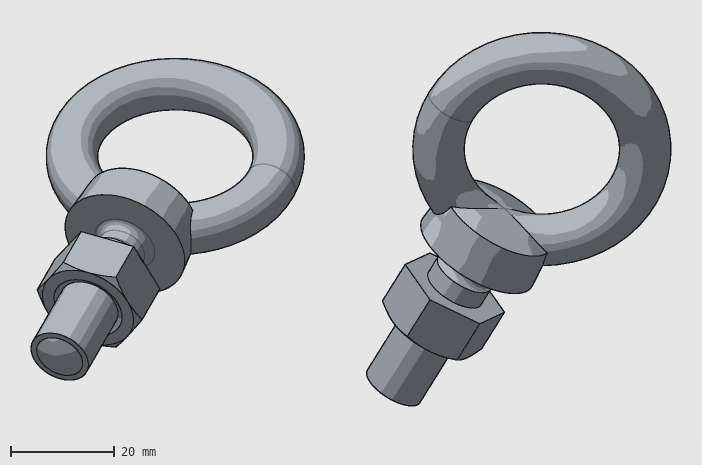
import cadquery as cq
import math


ring_outer_diameter = 50.0
ring_wire_diameter = 10.0
ring_wire_radius = ring_wire_diameter / 2
ring_centerline_radius = ring_outer_diameter / 2 - ring_wire_radius
ring_inner_radius = ring_centerline_radius - ring_wire_radius

collar_base_radius = ring_outer_diameter / 4
collar_top_radius = 11.75
collar_base_y = -26.0
collar_taper_height = 8.8
collar_top_y = collar_base_y + collar_taper_height
crown_y = -ring_inner_radius
crown_rise = crown_y - collar_top_y
crown_radius = (collar_top_radius**2 + crown_rise**2) / (2 * crown_rise)

shank_radius = 6.0
shank_length = 35.0
neck_radius = 4.75
neck_fillet_radius = 1.5
neck_length = 5.15
tip_dome_radius = 4.8
tip_dome_height = 1.4
tip_y = collar_base_y - shank_length
shank_end_y = tip_y + tip_dome_height
shank_start_y = collar_base_y - neck_length
tip_sphere_radius = (tip_dome_radius**2 + tip_dome_height**2) / (2 * tip_dome_height)

nut_across_flats = 19.0
nut_across_corners = nut_across_flats / math.cos(math.radians(30))
nut_height = 10.0
nut_gap_to_collar = 9.0
nut_back_y = collar_base_y - nut_gap_to_collar
nut_front_y = nut_back_y - nut_height
nut_chamfer_angle = math.radians(30)
countersink_radius = 7.1
countersink_angle = math.radians(30)
countersink_depth = (countersink_radius - shank_radius) * math.tan(countersink_angle)


def revolve_about_y(profile):
    """Close a half profile drawn in XY and turn it fully around the Y axis."""
    return profile.close().revolve(360, (0, 0, 0), (0, 1, 0))


def make_ring():
    return cq.Workplane(cq.Solid.makeTorus(ring_centerline_radius, ring_wire_radius))


def make_collar():
    crown_center_y = crown_y - crown_radius
    mid_x = collar_top_radius / 2
    mid_y = crown_center_y + math.sqrt(crown_radius**2 - mid_x**2)
    profile = (
        cq.Workplane("XY")
        .moveTo(0, collar_base_y)
        .lineTo(collar_base_radius, collar_base_y)
        .lineTo(collar_top_radius, collar_top_y)
        .threePointArc((mid_x, mid_y), (0, crown_y))
    )
    return revolve_about_y(profile)


def make_shank():
    fillet_center_x = neck_radius + neck_fillet_radius

    upper_center_y = collar_base_y - neck_fillet_radius
    half_diagonal = neck_fillet_radius * math.sqrt(0.5)
    upper_mid = (fillet_center_x - half_diagonal, upper_center_y + half_diagonal)

    lower_sweep = math.acos((fillet_center_x - shank_radius) / neck_fillet_radius)
    lower_center_y = shank_start_y + neck_fillet_radius * math.sin(lower_sweep)
    lower_mid = (
        fillet_center_x - neck_fillet_radius * math.cos(lower_sweep / 2),
        lower_center_y - neck_fillet_radius * math.sin(lower_sweep / 2),
    )

    tip_center_y = tip_y + tip_sphere_radius
    tip_mid_x = tip_dome_radius / 2
    tip_mid = (tip_mid_x, tip_center_y - math.sqrt(tip_sphere_radius**2 - tip_mid_x**2))

    profile = (
        cq.Workplane("XY")
        .moveTo(0, collar_base_y)
        .lineTo(fillet_center_x, collar_base_y)
        .threePointArc(upper_mid, (neck_radius, upper_center_y))
        .lineTo(neck_radius, lower_center_y)
        .threePointArc(lower_mid, (shank_radius, shank_start_y))
        .lineTo(shank_radius, shank_end_y)
        .lineTo(tip_dome_radius, shank_end_y)
        .threePointArc(tip_mid, (0, tip_y))
    )
    return revolve_about_y(profile)


def make_eye_bolt():
    return make_collar().union(make_ring()).union(make_shank())


def make_nut():
    prism = (
        cq.Workplane("XZ", origin=(0, nut_back_y, 0))
        .polygon(6, nut_across_corners)
        .extrude(nut_height)
    )

    face_radius = nut_across_flats / 2
    corner_radius = nut_across_corners / 2
    chamfer_depth = (corner_radius - face_radius) * math.tan(nut_chamfer_angle)
    chamfer_envelope = revolve_about_y(
        cq.Workplane("XY")
        .moveTo(0, nut_front_y)
        .lineTo(face_radius, nut_front_y)
        .lineTo(corner_radius, nut_front_y + chamfer_depth)
        .lineTo(corner_radius, nut_back_y)
        .lineTo(0, nut_back_y)
    )

    bore = revolve_about_y(
        cq.Workplane("XY")
        .moveTo(0, nut_front_y)
        .lineTo(countersink_radius, nut_front_y)
        .lineTo(shank_radius, nut_front_y + countersink_depth)
        .lineTo(shank_radius, nut_back_y)
        .lineTo(0, nut_back_y)
    )
    return prism.intersect(chamfer_envelope).cut(bore)


eye_bolt = make_eye_bolt()
nut = make_nut()

result = cq.Compound.makeCompound([eye_bolt.val(), nut.val()])